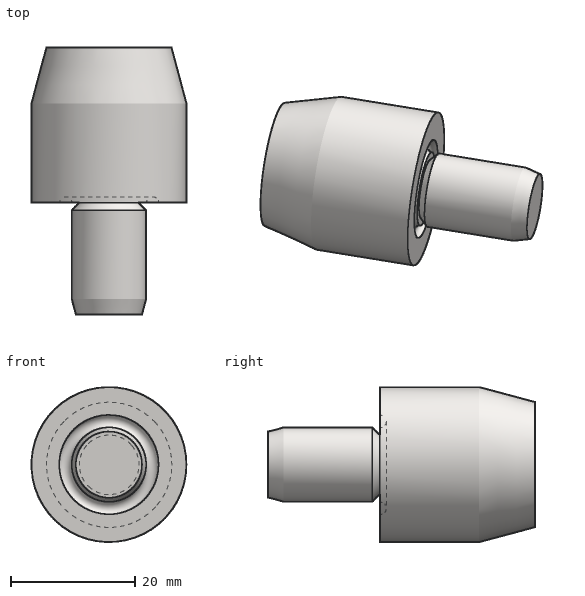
import cadquery as cq
import math

total_length = 43.0
head_diameter = 25.0
head_length = 25.0
head_taper_length = 9.0
pin_diameter = 12.0
pin_taper_length = 2.5
taper_angle = 15.0
undercut = 1.2
groove_diameter = 16.0

pin_length = total_length - head_length
head_radius = head_diameter / 2
pin_radius = pin_diameter / 2
neck_radius = pin_radius - undercut
taper_slope = math.tan(math.radians(taper_angle))
head_end_radius = head_radius - head_taper_length * taper_slope
pin_tip_radius = pin_radius - pin_taper_length * taper_slope
groove_outer_radius = groove_diameter / 2
groove_depth = (groove_outer_radius - pin_radius) / 2
groove_center_radius = pin_radius + groove_depth

half_section = (
    cq.Workplane("XY")
    .moveTo(0, -pin_length)
    .lineTo(pin_tip_radius, -pin_length)
    .lineTo(pin_radius, -pin_length + pin_taper_length)
    .lineTo(pin_radius, -undercut)
    .lineTo(neck_radius, 0)
    .lineTo(pin_radius, 0)
    .threePointArc((groove_center_radius, groove_depth), (groove_outer_radius, 0))
    .lineTo(head_radius, 0)
    .lineTo(head_radius, head_length - head_taper_length)
    .lineTo(head_end_radius, head_length)
    .lineTo(0, head_length)
    .close()
)

result = half_section.revolve(360, (0, 0, 0), (0, 1, 0))